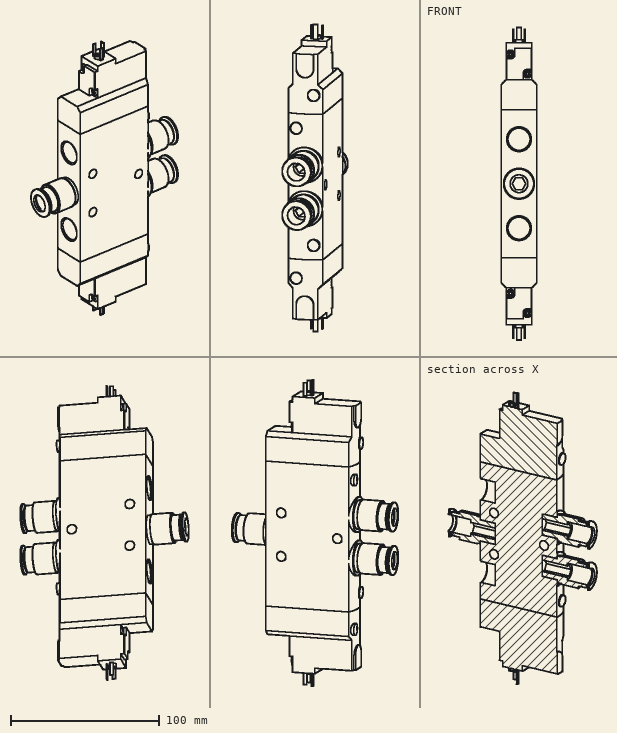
import cadquery as cq
import math

WIDTH = 24.0
FRONT_Y = -31.0
CROWN_Y = 30.4
CROWN_RISE = 2.3
PAD_Y = 31.0
PAD_ROOT_Y = 27.0
CROWN_RADIUS = ((WIDTH / 2) ** 2 + CROWN_RISE**2) / (2 * CROWN_RISE)

BODY_HALF_LENGTH = 50.0
EXHAUST_Z = 30.0
OUTLET_Z = 15.0
PORT_DIA = 14.95
PORT_MOUTH_DIA = 16.66
PORT_DEPTH = 12.0
MOUNT_DIA = 6.5
MOUNT_Y = 20.0
MOUNTS = [(MOUNT_Y, 0), (-MOUNT_Y, OUTLET_Z), (-MOUNT_Y, -OUTLET_Z)]
OUTLET_PAD_DIA = 24.2
BUTTON_DIA = 8.0
BUTTON_X = 6.0
BODY_BUTTON_Z = 40.0

CAP_TOP = 70.2
CAP_BUTTON_Z = 63.0
COIL_WIDTH = 17.4
CAP_CHAMFER = (WIDTH - COIL_WIDTH) / 2
COIL_TOP = 91.2
COIL_FRONT_Y = -15.6
COIL_EDGE_CHAMFER = 0.6
COIL_PAD_WIDTH = 12.0
COIL_PAD_BOTTOM = 75.0
PLUG_TOP = 95.1
PLUG_FRONT_Y = -13.1
PLUG_BACK_Y = 2.8

SCREW_X = 5.7
UPPER_SCREW_Z = 87.3
LOWER_SCREW_Z = 74.1
NOTCH_RADIUS = 3.0
SCREW_BASE_DIA = 5.6
SCREW_TOP_DIA = 3.4
SCREW_HEIGHT = 1.2
SCREW_SOCKET_DIA = 2.0

CONTACT_Y = -5.7
CONTACT_X = 3.8
CONTACT_THICKNESS = 0.6
CONTACT_WIDTH = 2.2
CONTACT_TOP = 104.1
EARTH_Y = -1.7
EARTH_WIDTH = 3.2
EARTH_TOP = 105.5
PLUG_BOSS_DIA = 5.0
PLUG_BOSS_TOP = 97.2
PLUG_BOSS_HOLE_DIA = 2.0

FITTING_LENGTH = 25.7
NECK_DIA = 19.8
NECK_END = 2.5
SHELL_DIA = 20.8
SHELL_END = 16.7
SHELL_CHAMFER = 0.4
SLEEVE_DIA = 17.4
SLEEVE_END = 22.9
SLEEVE_TAPER_LENGTH = 0.7
SLEEVE_TAPER = 0.3
GROOVE_DIA = 13.4
COLLAR_DIA = 19.8
COLLAR_START = 23.6
COLLAR_RIM_START = 24.1
COLLAR_RIM_END = 25.1
TUBE_DIA = 12.0
TUBE_DEPTH = 18.0
HEX_ACROSS_FLATS = 8.0


def box(x0, x1, y0, y1, z0, z1):
    return cq.Workplane("XY").box(x1 - x0, y1 - y0, z1 - z0, centered=False).translate((x0, y0, z0))


def rod_y(dia, x, z, y0, y1):
    """Cylinder along Y between y0 and y1."""
    return cq.Workplane("XZ").center(x, z).circle(dia / 2).extrude(-(y1 - y0)).translate((0, y0, 0))


def crowned_bar(width, front_y, z0, z1):
    """Bar along Z with a flat front and the common crowned back."""
    half = width / 2
    edge_y = CROWN_Y - CROWN_RADIUS + math.sqrt(CROWN_RADIUS**2 - half**2)
    return (
        cq.Workplane("XY", origin=(0, 0, z0))
        .moveTo(-half, front_y)
        .lineTo(half, front_y)
        .lineTo(half, edge_y)
        .threePointArc((0, CROWN_Y), (-half, edge_y))
        .close()
        .extrude(z1 - z0)
    )


def make_centre_body():
    body = crowned_bar(WIDTH, FRONT_Y, -BODY_HALF_LENGTH, BODY_HALF_LENGTH)

    side_trim = box(-WIDTH / 2, WIDTH / 2, FRONT_Y, PAD_Y, -BODY_HALF_LENGTH, BODY_HALF_LENGTH)
    for side in (-1, 1):
        pad = rod_y(OUTLET_PAD_DIA, 0, side * OUTLET_Z, PAD_ROOT_Y, PAD_Y)
        body = body.union(pad.intersect(side_trim))
        body = body.union(rod_y(BUTTON_DIA, side * BUTTON_X, side * BODY_BUTTON_Z, PAD_ROOT_Y, PAD_Y))

    mouth_depth = (PORT_MOUTH_DIA - PORT_DIA) / 2
    for side in (-1, 1):
        port = rod_y(PORT_DIA, 0, side * EXHAUST_Z, FRONT_Y, FRONT_Y + PORT_DEPTH)
        mouth = cq.Solid.makeCone(
            PORT_MOUTH_DIA / 2, PORT_DIA / 2, mouth_depth,
            cq.Vector(0, FRONT_Y, side * EXHAUST_Z), cq.Vector(0, 1, 0),
        )
        body = body.cut(port).cut(cq.Workplane(mouth))

    body = body.cut(rod_y(PORT_DIA, 0, 0, FRONT_Y, FRONT_Y + PORT_DEPTH))
    for side in (-1, 1):
        body = body.cut(rod_y(PORT_DIA, 0, side * OUTLET_Z, PAD_Y - PORT_DEPTH, PAD_Y))

    mounts = cq.Workplane("YZ", origin=(-WIDTH / 2, 0, 0)).pushPoints(MOUNTS)
    return body.cut(mounts.circle(MOUNT_DIA / 2).extrude(WIDTH))


def screw_notch(side, screw_z, end_z):
    """Corner pocket around a screw, open to the side and to end_z, with one rounded inner corner."""
    inner_x = side * (SCREW_X - NOTCH_RADIUS)
    outer_x = side * COIL_WIDTH / 2
    away = math.copysign(NOTCH_RADIUS, screw_z - end_z)
    diagonal = math.sqrt(0.5)
    return (
        cq.Workplane("XZ", origin=(0, PLUG_FRONT_Y, 0))
        .moveTo(inner_x, end_z)
        .lineTo(inner_x, screw_z)
        .threePointArc(
            (side * (SCREW_X - NOTCH_RADIUS * diagonal), screw_z + away * diagonal),
            (side * SCREW_X, screw_z + away),
        )
        .lineTo(outer_x, screw_z + away)
        .lineTo(outer_x, end_z)
        .close()
        .extrude(PLUG_FRONT_Y - COIL_FRONT_Y)
    )


def screw_head(x, z):
    cone = cq.Solid.makeCone(
        SCREW_BASE_DIA / 2, SCREW_TOP_DIA / 2, SCREW_HEIGHT,
        cq.Vector(x, PLUG_FRONT_Y, z), cq.Vector(0, -1, 0),
    )
    socket = rod_y(SCREW_SOCKET_DIA, x, z, PLUG_FRONT_Y - SCREW_HEIGHT, PLUG_FRONT_Y)
    return cq.Workplane(cone).cut(socket)


def make_solenoid():
    half = COIL_WIDTH / 2
    coil = crowned_bar(COIL_WIDTH, COIL_FRONT_Y, CAP_TOP, COIL_TOP)
    coil = coil.faces("<Y").edges("|Z").chamfer(COIL_EDGE_CHAMFER)
    coil = coil.union(box(-half, half, PLUG_FRONT_Y, PLUG_BACK_Y, CAP_TOP, PLUG_TOP))

    pad_radius = COIL_PAD_WIDTH / 2
    pad_centre_z = COIL_PAD_BOTTOM + pad_radius
    coil = coil.union(box(-pad_radius, pad_radius, PAD_ROOT_Y, PAD_Y, pad_centre_z, COIL_TOP))
    coil = coil.union(rod_y(COIL_PAD_WIDTH, 0, pad_centre_z, PAD_ROOT_Y, PAD_Y))

    coil = coil.cut(screw_notch(-1, UPPER_SCREW_Z, COIL_TOP))
    coil = coil.cut(screw_notch(1, LOWER_SCREW_Z, CAP_TOP))
    coil = coil.union(screw_head(-SCREW_X, UPPER_SCREW_Z))
    return coil.union(screw_head(SCREW_X, LOWER_SCREW_Z))


def contact_blade(x, y, size_x, size_y, top):
    return box(x - size_x / 2, x + size_x / 2, y - size_y / 2, y + size_y / 2, PLUG_TOP, top)


def make_end_unit():
    """Upper end unit: chamfered cap, solenoid and plug contacts in one piece."""
    cap = crowned_bar(WIDTH, FRONT_Y, BODY_HALF_LENGTH, CAP_TOP)
    for side in (-1, 1):
        corner = (
            cq.Workplane("XZ", origin=(0, FRONT_Y, 0))
            .moveTo(side * WIDTH / 2, CAP_TOP)
            .lineTo(side * COIL_WIDTH / 2, CAP_TOP)
            .lineTo(side * WIDTH / 2, CAP_TOP - CAP_CHAMFER)
            .close()
            .extrude(-(CROWN_Y - FRONT_Y))
        )
        cap = cap.cut(corner)
    unit = cap.union(rod_y(BUTTON_DIA, -BUTTON_X, CAP_BUTTON_Z, PAD_ROOT_Y, PAD_Y))
    unit = unit.union(make_solenoid())

    boss = cq.Workplane("XY", origin=(0, CONTACT_Y, PLUG_TOP)).circle(PLUG_BOSS_DIA / 2)
    boss = boss.circle(PLUG_BOSS_HOLE_DIA / 2).extrude(PLUG_BOSS_TOP - PLUG_TOP)
    unit = unit.union(boss)
    unit = unit.union(contact_blade(0, EARTH_Y, EARTH_WIDTH, CONTACT_THICKNESS, EARTH_TOP))
    for side in (-1, 1):
        blade = contact_blade(side * CONTACT_X, CONTACT_Y, CONTACT_THICKNESS, CONTACT_WIDTH, CONTACT_TOP)
        unit = unit.union(blade)
    return unit


def make_fitting():
    """Push-in fitting seated at Y = 0 and pointing along +Y, its stem reaching to -PORT_DEPTH."""
    profile = [
        (0, -PORT_DEPTH),
        (PORT_DIA / 2, -PORT_DEPTH),
        (PORT_DIA / 2, 0),
        (NECK_DIA / 2, 0),
        (NECK_DIA / 2, NECK_END),
        (SHELL_DIA / 2, NECK_END),
        (SHELL_DIA / 2, SHELL_END - SHELL_CHAMFER),
        (SHELL_DIA / 2 - SHELL_CHAMFER, SHELL_END),
        (SLEEVE_DIA / 2, SHELL_END),
        (SLEEVE_DIA / 2, SLEEVE_END - SLEEVE_TAPER_LENGTH),
        (SLEEVE_DIA / 2 - SLEEVE_TAPER, SLEEVE_END),
        (GROOVE_DIA / 2, SLEEVE_END),
        (GROOVE_DIA / 2, COLLAR_START),
        (COLLAR_DIA / 2, COLLAR_RIM_START),
        (COLLAR_DIA / 2, COLLAR_RIM_END),
        (TUBE_DIA / 2, FITTING_LENGTH),
        (TUBE_DIA / 2, FITTING_LENGTH - TUBE_DEPTH),
        (0, FITTING_LENGTH - TUBE_DEPTH),
    ]
    fitting = cq.Workplane("XY").polyline(profile).close().revolve(360, (0, 0), (0, 1))
    hex_corner_dia = HEX_ACROSS_FLATS / math.cos(math.pi / 6)
    passage = cq.Workplane("XZ", origin=(0, -PORT_DEPTH, 0)).polygon(6, hex_corner_dia)
    return fitting.cut(passage.extrude(-(FITTING_LENGTH - TUBE_DEPTH + PORT_DEPTH)))


centre_body = make_centre_body()

end_units = [make_end_unit().rotate((0, 0, 0), (0, 1, 0), angle) for angle in (0, 180)]

fittings = [make_fitting().rotate((0, 0, 0), (0, 0, 1), 180).translate((0, FRONT_Y, 0))]
for side in (-1, 1):
    fittings.append(make_fitting().translate((0, PAD_Y, side * OUTLET_Z)))

bodies = [centre_body, *end_units, *fittings]
result = cq.Compound.makeCompound([body.solids().val() for body in bodies])